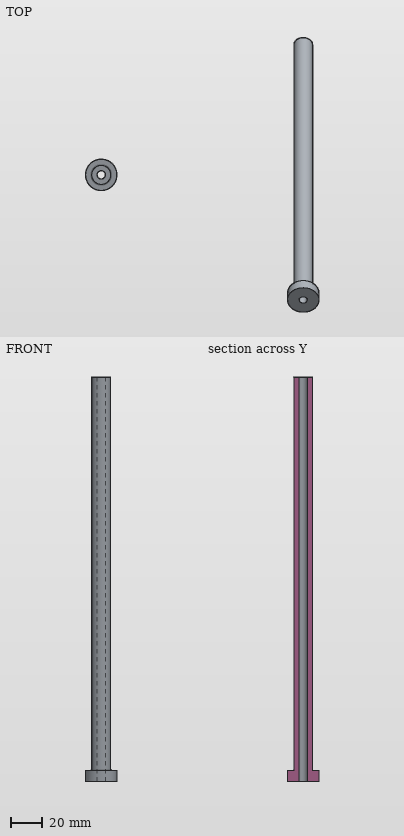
import cadquery as cq

total_length = 257.0
head_diameter = 20.0
head_height = 7.2
shank_diameter = 12.0
bore_diameter = 5.1
root_fillet_radius = 0.5

head_radius = head_diameter / 2
shank_radius = shank_diameter / 2
bore_radius = bore_diameter / 2

half_section = (
    cq.Workplane("XZ")
    .moveTo(bore_radius, 0)
    .lineTo(head_radius, 0)
    .lineTo(head_radius, head_height)
    .lineTo(shank_radius + root_fillet_radius, head_height)
    .radiusArc((shank_radius, head_height + root_fillet_radius), root_fillet_radius)
    .lineTo(shank_radius, total_length)
    .lineTo(bore_radius, total_length)
    .close()
)

result = half_section.revolve(360, (0, 0, 0), (0, 1, 0))